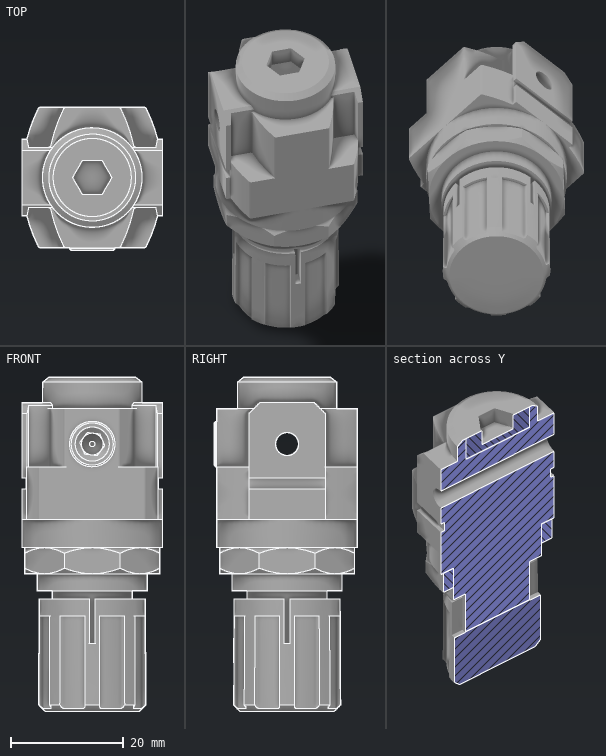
import cadquery as cq
import math

KNOB_TOP = 20.05
COLLAR_BOTTOM = 21.45
NUT_BOTTOM = 24.5
FLANGE_BOTTOM = 29.15
BLOCK_BOTTOM = 34.2
SHOULDER = 43.45
CORE_TOP = 53.85
PLATE_TOP = 54.95
CAP_TOP = 59.45

BODY_WIDTH = 25.0
FLANK_RADIUS = 27.35
FLANK_EDGE_FILLET = 0.5
CORE_CROWN = 7.95
PLATE_WIDTH = 13.6
PLATE_CHAMFER = 1.95
WEB_WIDTH = 10.7
LIP_ROOT = 11.3
LIP_TIP = 11.6
GROOVE_BOTTOM = 39.6
GROOVE_TOP = 41.5
GROOVE_DEPTH = 0.8
CAP_RADIUS = 8.85
CAP_CHAMFER_HEIGHT = 0.9
CAP_CHAMFER_WIDTH = 1.1
COLLAR_RADIUS = 9.8
NECK_RADIUS = 7.15
PORT_RADIUS = 2.0
PORT_HEIGHT = 47.55

PLUG_RADIUS = 6.95
PLUG_LENGTH = 5.0
PLUG_HEX_FLATS = 6.05
PLUG_HEX_DEPTH = 3.4

GAUGE_RADIUS = 4.05
GAUGE_PROTRUSION = 0.5
GAUGE_LENGTH = 5.95
GAUGE_CHAMFER = 0.3
GAUGE_MOUTH_RADIUS = 3.05
GAUGE_HEX_FLATS = 3.85
GAUGE_HEX_DEPTH = 3.55
GAUGE_HEX_TURN = 7.0
GAUGE_TIP_RADIUS = 0.5
GAUGE_TIP_DEPTH = 0.85

NUT_FLATS = 24.0
NUT_SIDES = 8

KNOB_TOP_RADIUS = 9.45
KNOB_BOTTOM_RADIUS = 9.6
KNOB_CHAMFER = 1.2
RIB_COUNT = 8
FLUTE_TOP = 17.0
FLUTE_RADIUS = 8.9
RIB_WIDTH = 2.6
RIB_ROOT_FILLET = 0.5
SLOT_COUNT = 4
SLOT_WIDTH = 1.0
SLOT_BOTTOM = 12.1

HALF_BODY = BODY_WIDTH / 2
CUT_MARGIN = 0.3
HEX_SIDES = 6


def cylinder(radius, bottom, top):
    return cq.Workplane("XY").workplane(offset=bottom).circle(radius).extrude(top - bottom)


def slab(width_x, width_y, bottom, top):
    return cq.Workplane("XY").workplane(offset=bottom).rect(width_x, width_y).extrude(top - bottom)


def hex_corner_diameter(flats):
    return flats / math.cos(math.pi / HEX_SIDES)


def crowned_prism(crown, bottom, top):
    """Prism with flat front and back, and flanks bowed out to the crown at Y = 0."""
    corner = crown - FLANK_RADIUS + math.sqrt(FLANK_RADIUS**2 - HALF_BODY**2)
    return (
        cq.Workplane("XY")
        .workplane(offset=bottom)
        .moveTo(-corner, -HALF_BODY)
        .lineTo(corner, -HALF_BODY)
        .threePointArc((crown, 0), (corner, HALF_BODY))
        .lineTo(-corner, HALF_BODY)
        .threePointArc((-crown, 0), (-corner, -HALF_BODY))
        .close()
        .extrude(top - bottom)
    )


def make_block():
    """Wide lower part; the plate covers its flanks, so they are trimmed to the groove floor."""
    groove_floor_width = BODY_WIDTH - 2 * GROOVE_DEPTH
    block = crowned_prism(HALF_BODY, BLOCK_BOTTOM, SHOULDER).edges("|Z").fillet(FLANK_EDGE_FILLET)
    return block.intersect(slab(groove_floor_width, BODY_WIDTH, BLOCK_BOTTOM, SHOULDER))


def make_core():
    """Narrow upper part, blended into the web, which is trimmed short of the plate's lips."""
    core = crowned_prism(CORE_CROWN, SHOULDER, CORE_TOP)
    web = slab(BODY_WIDTH, WEB_WIDTH, SHOULDER, CORE_TOP)
    blended = core.union(web).edges("|Z").fillet(FLANK_EDGE_FILLET)
    return blended.intersect(slab(2 * CAP_RADIUS, BODY_WIDTH, SHOULDER, CORE_TOP))


def make_port_plate():
    """Plate across the body along X: full width below the shoulder, a lipped web above it."""
    lower = slab(BODY_WIDTH, PLATE_WIDTH, BLOCK_BOTTOM, SHOULDER)
    half_web = WEB_WIDTH / 2
    half_plate = PLATE_WIDTH / 2
    upper = slab(BODY_WIDTH, PLATE_WIDTH, SHOULDER, PLATE_TOP)
    for side in (-1, 1):
        pocket = (
            cq.Workplane("XY")
            .workplane(offset=SHOULDER)
            .polyline(
                [
                    (-LIP_ROOT, side * half_web),
                    (LIP_ROOT, side * half_web),
                    (LIP_TIP, side * half_plate),
                    (-LIP_TIP, side * half_plate),
                ]
            )
            .close()
            .extrude(PLATE_TOP - SHOULDER)
        )
        upper = upper.cut(pocket)
    bevelled = slab(BODY_WIDTH, PLATE_WIDTH, BLOCK_BOTTOM, PLATE_TOP)
    bevelled = bevelled.faces(">Z").edges("|X").chamfer(PLATE_CHAMFER)
    plate = lower.union(upper).intersect(bevelled)
    for side in (-1, 1):
        groove = slab(2 * GROOVE_DEPTH, PLATE_WIDTH, GROOVE_BOTTOM, GROOVE_TOP)
        plate = plate.cut(groove.translate((side * HALF_BODY, 0, 0)))
    return plate


def make_round_sections():
    """Cap above the block; flange, threaded collar and neck below it."""
    cap = cylinder(CAP_RADIUS, SHOULDER, CAP_TOP)
    cap = cap.faces(">Z").chamfer(CAP_CHAMFER_HEIGHT, CAP_CHAMFER_WIDTH)
    flange = cylinder(HALF_BODY, FLANGE_BOTTOM, BLOCK_BOTTOM)
    collar = cylinder(COLLAR_RADIUS, COLLAR_BOTTOM, FLANGE_BOTTOM)
    neck = cylinder(NECK_RADIUS, SLOT_BOTTOM, COLLAR_BOTTOM)
    return [cap, flange, collar, neck]


def make_housing():
    housing = make_block().union(make_core()).union(make_port_plate())
    for section in make_round_sections():
        housing = housing.union(section)
    port = (
        cq.Workplane("YZ")
        .center(0, PORT_HEIGHT)
        .circle(PORT_RADIUS)
        .extrude(HALF_BODY, both=True)
    )
    plug_hole = cylinder(PLUG_RADIUS, CAP_TOP - PLUG_LENGTH, CAP_TOP)
    return housing.cut(port).cut(plug_hole).cut(gauge_blank())


def make_top_plug():
    return (
        cylinder(PLUG_RADIUS, CAP_TOP - PLUG_LENGTH, CAP_TOP)
        .faces(">Z")
        .workplane()
        .polygon(HEX_SIDES, hex_corner_diameter(PLUG_HEX_FLATS))
        .cutBlind(-PLUG_HEX_DEPTH)
    )


GAUGE_FACE = HALF_BODY + GAUGE_PROTRUSION


def gauge_plane():
    """Workplane on the outer face of the gauge plug, with its normal pointing outwards."""
    return cq.Workplane("XZ", origin=(0, -GAUGE_FACE, PORT_HEIGHT))


def gauge_blank():
    return gauge_plane().circle(GAUGE_RADIUS).extrude(-GAUGE_LENGTH)


def gauge_cone(start_depth, start_radius, end_depth, end_radius):
    """Cone along the gauge plug's axis between two depths below its outer face."""
    cone = cq.Solid.makeCone(
        start_radius,
        end_radius,
        end_depth - start_depth,
        pnt=cq.Vector(0, start_depth - GAUGE_FACE, PORT_HEIGHT),
        dir=cq.Vector(0, 1, 0),
    )
    return cq.Workplane(obj=cone)


def make_gauge_plug():
    hex_apothem = GAUGE_HEX_FLATS / 2
    countersink_depth = GAUGE_MOUTH_RADIUS - hex_apothem
    countersink = gauge_cone(0, GAUGE_MOUTH_RADIUS, countersink_depth, hex_apothem)
    socket = (
        gauge_plane()
        .transformed(rotate=(0, 0, -GAUGE_HEX_TURN))
        .polygon(HEX_SIDES, hex_corner_diameter(GAUGE_HEX_FLATS))
        .extrude(-GAUGE_HEX_DEPTH)
    )
    tip_end = GAUGE_HEX_DEPTH + GAUGE_TIP_DEPTH
    drill_tip = gauge_cone(GAUGE_HEX_DEPTH, hex_apothem, tip_end, GAUGE_TIP_RADIUS)
    plug = gauge_blank().faces("<Y").chamfer(GAUGE_CHAMFER)
    return plug.cut(countersink).cut(socket).cut(drill_tip)


def make_nut():
    """Octagonal nut with its corners turned off at 45 degrees on both faces."""
    half_step = math.pi / NUT_SIDES
    apothem = NUT_FLATS / 2
    corner_radius = apothem / math.cos(half_step)
    height = FLANGE_BOTTOM - NUT_BOTTOM
    octagon = (
        cq.Workplane("XY")
        .workplane(offset=NUT_BOTTOM)
        .polygon(NUT_SIDES, 2 * corner_radius)
        .extrude(height)
        .rotate((0, 0, 0), (0, 0, 1), math.degrees(half_step))
    )
    turned = cylinder(corner_radius, NUT_BOTTOM, FLANGE_BOTTOM)
    turned = turned.faces("<Z or >Z").chamfer(corner_radius - apothem)
    bore = cylinder(COLLAR_RADIUS, NUT_BOTTOM, FLANGE_BOTTOM)
    return octagon.intersect(turned).cut(bore)


def make_knob_blank():
    """Slightly tapered barrel with a chamfered bottom rim, bored for the neck."""
    barrel = (
        cq.Workplane("XZ")
        .moveTo(0, 0)
        .lineTo(KNOB_BOTTOM_RADIUS - KNOB_CHAMFER, 0)
        .lineTo(KNOB_BOTTOM_RADIUS, KNOB_CHAMFER)
        .lineTo(KNOB_TOP_RADIUS, KNOB_TOP)
        .lineTo(0, KNOB_TOP)
        .close()
        .revolve(360, (0, 0), (0, 1))
    )
    return barrel.cut(cylinder(NECK_RADIUS, SLOT_BOTTOM, KNOB_TOP))


def make_flutes():
    """Space between the ribs: a sleeve around the barrel less a ribbed core.

    The ribs reach past the sleeve, so that only the fillets at their roots shape the flutes.
    """
    sleeve_radius = KNOB_BOTTOM_RADIUS + CUT_MARGIN
    rib_reach = sleeve_radius + 2 * RIB_ROOT_FILLET
    ribbed_core = cylinder(FLUTE_RADIUS, 0, FLUTE_TOP)
    rib_pair = slab(2 * rib_reach, RIB_WIDTH, 0, FLUTE_TOP)
    for i in range(RIB_COUNT // 2):
        ribbed_core = ribbed_core.union(rib_pair.rotate((0, 0, 0), (0, 0, 1), 360 * i / RIB_COUNT))
    ribbed_core = ribbed_core.edges("|Z").fillet(RIB_ROOT_FILLET)
    return cylinder(sleeve_radius, 0, FLUTE_TOP).cut(ribbed_core)


def make_knob():
    knob = make_knob_blank().cut(make_flutes())
    slot = slab(KNOB_BOTTOM_RADIUS, SLOT_WIDTH, SLOT_BOTTOM, KNOB_TOP)
    slot = slot.translate((KNOB_BOTTOM_RADIUS, 0, 0))
    for i in range(SLOT_COUNT):
        knob = knob.cut(slot.rotate((0, 0, 0), (0, 0, 1), 360 * i / SLOT_COUNT))
    return knob


housing = make_housing()
top_plug = make_top_plug()
gauge_plug = make_gauge_plug()
nut = make_nut()
knob = make_knob()

result = cq.Compound.makeCompound(
    [housing.val(), top_plug.val(), gauge_plug.val(), nut.val(), knob.val()]
)